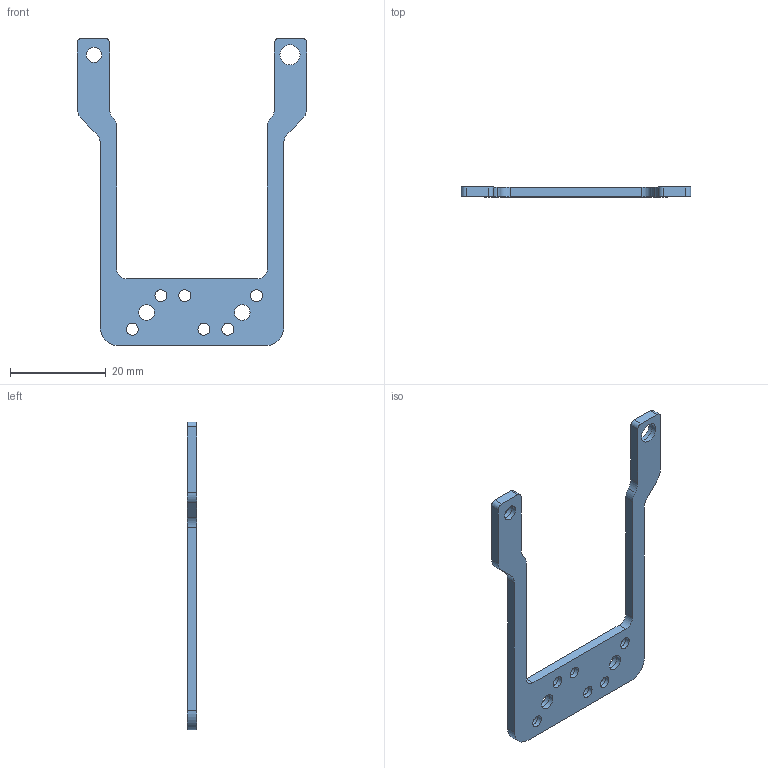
import cadquery as cq
import math


width = 48.0
height = 64.4
thickness = 2.0

base_width = 38.4
base_height = 14.0
leg_width = 3.47

pad_width = 6.75
pad_start_z = 48.4
inner_bend_middle_z = 47.65

base_corner_radius = 4.0
notch_corner_radius = 2.0
bend_radius = 3.0
pad_corner_radius = 1.0

corner_pick_margin = 0.1

hole_row_z = 7.0
slant_step_x = 3.0
slant_step_z = 3.5
pattern_center_x = 0.5
pattern_half_pitch = 10.0
inner_hole_offset = 2.0
large_hole_diameter = 3.3
small_hole_diameter = 2.5

pad_hole_x = 20.5
pad_hole_drop = 3.5
left_pad_hole_diameter = 3.2
right_pad_hole_diameter = 4.2

pad_outer_x = width / 2
pad_inner_x = pad_outer_x - pad_width
pad_hole_z = height - pad_hole_drop
leg_outer_x = base_width / 2
leg_inner_x = leg_outer_x - leg_width
outer_bend_z = pad_start_z - (pad_outer_x - leg_outer_x)
inner_step = pad_inner_x - leg_inner_x
inner_bend_middle_x = leg_inner_x + inner_step / 2
inner_bend_height = math.sqrt(inner_step * (4 * bend_radius - inner_step))
inner_bend_top_z = inner_bend_middle_z + inner_bend_height / 2
inner_bend_bottom_z = inner_bend_middle_z - inner_bend_height / 2


def make_plate():
    """Extrude the right half of the outline, centred on the XZ plane, and mirror it.

    The inner S-bend is two equal arcs that touch halfway between pad and leg.
    """
    half_outline = (
        cq.Workplane("XZ")
        .lineTo(leg_outer_x, 0)
        .lineTo(leg_outer_x, outer_bend_z)
        .lineTo(pad_outer_x, pad_start_z)
        .lineTo(pad_outer_x, height)
        .lineTo(pad_inner_x, height)
        .lineTo(pad_inner_x, inner_bend_top_z)
        .radiusArc((inner_bend_middle_x, inner_bend_middle_z), bend_radius)
        .radiusArc((leg_inner_x, inner_bend_bottom_z), -bend_radius)
        .lineTo(leg_inner_x, base_height)
        .lineTo(0, base_height)
        .close()
    )
    half_plate = half_outline.extrude(thickness / 2, both=True)
    return half_plate.union(half_plate.mirror("YZ"))


def round_corners(plate, radius, corners):
    """Round the through-thickness edges at the given (x, z) corners on both sides."""
    for x, z in corners:
        for side in (-1, 1):
            low = (side * x - corner_pick_margin, -thickness, z - corner_pick_margin)
            high = (side * x + corner_pick_margin, thickness, z + corner_pick_margin)
            plate = plate.edges("|Y").edges(cq.selectors.BoxSelector(low, high)).fillet(radius)
    return plate


def drill(plate, diameter, centers):
    """Cut through holes along Y at the given (x, z) centers."""
    holes = cq.Workplane("XZ").pushPoints(centers).circle(diameter / 2)
    return plate.cut(holes.extrude(thickness, both=True))


def drill_base(plate):
    """Two slanted rows of three holes, with one extra small hole inboard of each."""
    large_centers = []
    small_centers = []
    for side in (-1, 1):
        row_x = pattern_center_x + side * pattern_half_pitch
        inner_x = pattern_center_x + side * inner_hole_offset
        large_centers.append((row_x, hole_row_z))
        for end in (-1, 1):
            small_centers.append((row_x + end * slant_step_x, hole_row_z + end * slant_step_z))
        small_centers.append((inner_x, hole_row_z - side * slant_step_z))
    plate = drill(plate, large_hole_diameter, large_centers)
    return drill(plate, small_hole_diameter, small_centers)


def drill_pads(plate):
    """One hole in each pad, the right one larger."""
    plate = drill(plate, left_pad_hole_diameter, [(-pad_hole_x, pad_hole_z)])
    return drill(plate, right_pad_hole_diameter, [(pad_hole_x, pad_hole_z)])


bracket = make_plate()
bracket = round_corners(bracket, base_corner_radius, [(leg_outer_x, 0)])
bracket = round_corners(bracket, notch_corner_radius, [(leg_inner_x, base_height)])
bracket = round_corners(
    bracket,
    bend_radius,
    [(leg_outer_x, outer_bend_z), (pad_outer_x, pad_start_z)],
)
bracket = round_corners(bracket, pad_corner_radius, [(pad_outer_x, height), (pad_inner_x, height)])
bracket = drill_base(bracket)
result = drill_pads(bracket)